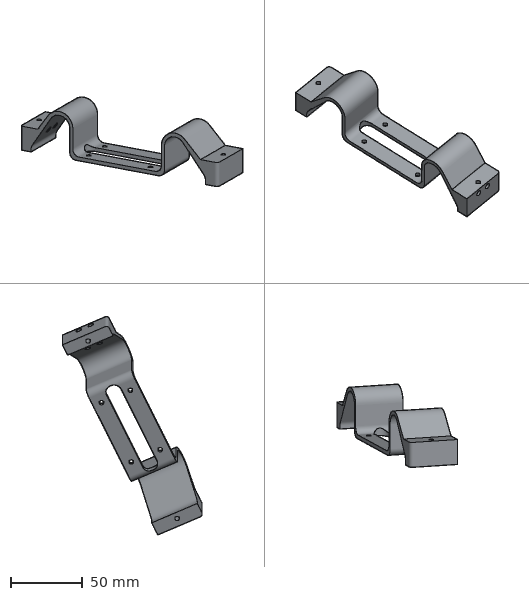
import cadquery as cq
import math

length = 158.1
width = 35.0
height = 33.7

strap = 2.8
wall = 2.5
hump_radius = 10.9
hump_inner_radius = hump_radius - strap
left_wall_x = 41.9
right_wall_x = 112.7
bend_radius = 5.0
hump_z = height - hump_radius
left_hump_x = left_wall_x - hump_radius
right_hump_x = right_wall_x + hump_radius

block_height = 17.7
left_ledge = 13.8
right_ledge = 14.0
left_foot = 8.5
right_foot = 10.1
left_foot_corner_z = 3.8
right_foot_corner_z = 5.4
left_foot_radius = 5.0
right_foot_radius = 7.9
left_edge_radius = 2.0
right_edge_radius = 2.5

screw_diameter = 3.2
left_screw_x = 4.9
right_screw_x = 152.4
floor_screw_xs = (51.0, 100.4)
floor_screw_y = 11.0
side_hole_diameter = 4.0
side_hole_z = 13.8
side_hole_ys = (-4.3, 4.9)
slot_start_x = 42.4
slot_end_x = 112.3
slot_width = 10.9
slot_corner_radius = 4.9


def tangent_point(start, centre, radius, side):
    """Point where a line from start touches a circle; side +1 or -1 picks the line."""
    dx = start[0] - centre[0]
    dz = start[1] - centre[1]
    angle = math.atan2(dz, dx) + side * math.acos(radius / math.hypot(dx, dz))
    return centre[0] + radius * math.cos(angle), centre[1] + radius * math.sin(angle)


def hump_half(hump_x, end_x, ledge, foot, foot_corner_z, foot_radius, edge_radius):
    """End block, sloping leg, hump and upright wall, for the end of the part at end_x."""
    outward = 1 if end_x > hump_x else -1
    block_inner_x = end_x - outward * ledge
    foot_x = end_x - outward * foot
    centre = (hump_x, hump_z)
    ledge_corner = (block_inner_x, block_height)
    foot_corner = (foot_x, foot_corner_z)
    outer_tangent = tangent_point(ledge_corner, centre, hump_radius, outward)
    inner_tangent = tangent_point(foot_corner, centre, hump_inner_radius, outward)
    outer_wall_x = hump_x - outward * hump_radius
    inner_wall_x = outer_wall_x + outward * wall
    body = (
        cq.Workplane("XZ", origin=(0, width / 2, 0))
        .moveTo(end_x, 0)
        .lineTo(end_x, block_height)
        .lineTo(*ledge_corner)
        .lineTo(*outer_tangent)
        .threePointArc((hump_x, height), (outer_wall_x, hump_z))
        .lineTo(outer_wall_x, 0)
        .lineTo(inner_wall_x, 0)
        .lineTo(inner_wall_x, hump_z)
        .threePointArc((hump_x, height - strap), inner_tangent)
        .lineTo(*foot_corner)
        .lineTo(foot_x, 0)
        .close()
        .extrude(width)
    )
    foot_edge = cq.selectors.NearestToPointSelector((foot_x, 0, foot_corner_z))
    end_edge = cq.selectors.NearestToPointSelector((end_x, -width / 2, block_height / 2))
    return body.edges(foot_edge).fillet(foot_radius).edges(end_edge).fillet(edge_radius)


def make_strap():
    left = hump_half(
        left_hump_x, 0, left_ledge, left_foot,
        left_foot_corner_z, left_foot_radius, left_edge_radius,
    )
    right = hump_half(
        right_hump_x, length, right_ledge, right_foot,
        right_foot_corner_z, right_foot_radius, right_edge_radius,
    )
    floor_start = left_wall_x - wall
    floor_end = right_wall_x + wall
    floor = cq.Workplane("XY").box(
        floor_end - floor_start, width, strap, centered=(False, True, False)
    ).translate((floor_start, 0, 0))
    body = left.union(right).union(floor, clean=True)
    for x, z in (
        (left_wall_x, strap),
        (right_wall_x, strap),
        (floor_start, 0),
        (floor_end, 0),
    ):
        body = body.edges(cq.selectors.NearestToPointSelector((x, 0, z))).fillet(bend_radius)
    return body


def slot_cutter():
    slot_length = slot_end_x - slot_start_x
    slot_middle_x = (slot_start_x + slot_end_x) / 2
    return (
        cq.Workplane("XY", origin=(slot_middle_x, 0, 0))
        .rect(slot_length, slot_width)
        .extrude(height)
        .edges("|Z")
        .fillet(slot_corner_radius)
    )


def screw_cutters():
    points = [(left_screw_x, 0), (right_screw_x, 0)]
    for x in floor_screw_xs:
        points += [(x, -floor_screw_y), (x, floor_screw_y)]
    return cq.Workplane("XY").pushPoints(points).circle(screw_diameter / 2).extrude(height)


def side_hole_cutters():
    return (
        cq.Workplane("YZ")
        .pushPoints([(y, side_hole_z) for y in side_hole_ys])
        .circle(side_hole_diameter / 2)
        .extrude(left_hump_x)
    )


result = make_strap().cut(slot_cutter()).cut(screw_cutters()).cut(side_hole_cutters())